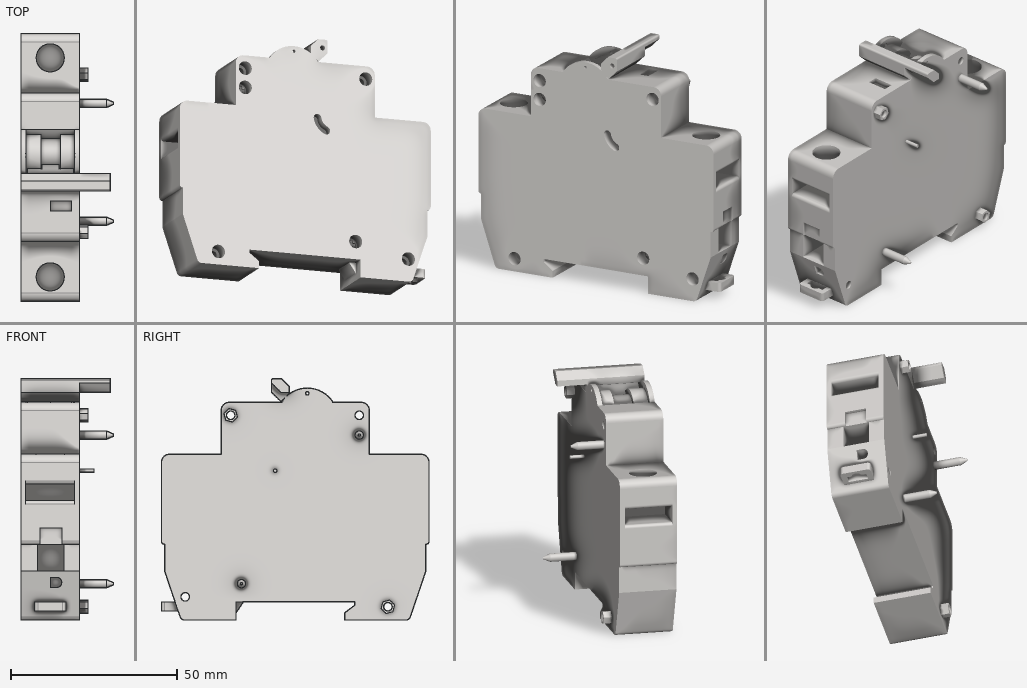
import cadquery as cq
import math

WIDTH = 17.7
HALF_LENGTH = 40.3
SHOULDER_Z = 50.0
TOWER_HALF = 22.3
TOWER_Z = 65.6
TOP_RADIUS = 2.5
STEP = 1.0
STEP_Z = 22.8
WAIST_Z = 14.75
FOOT_HALF = 34.3
FOOT_RADIUS = 1.45
WAIST_HALF = HALF_LENGTH - STEP

RAIL_CEILING = 5.5
RAIL_HOOK_MOUTH_Y = 14.8
RAIL_HOOK_Y = 17.9
RAIL_HOOK_LOW_Z = 2.2
RAIL_HOOK_HIGH_Z = 4.5
RAIL_LATCH_Y = -17.8

WHEEL_Y = 3.6
WHEEL_Z = 60.7
CHEEK_RADIUS = 9.2
CHEEK_THICKNESS = 1.5
CHEEK_HOLE_DIAMETER = 1.0
CHEEK_HOLE_Z = 68.3
WHEEL_RADIUS = 7.1
GROOVE_RADIUS = 5.5
GROOVE_X = (6.05, 12.0)
WELL_HALF = math.sqrt(CHEEK_RADIUS**2 - (TOWER_Z - WHEEL_Z)**2)

LEVER_LENGTH = 27.0
LEVER_FRONT_Y = -7.2
LEVER_REAR_Y = -1.8
LEVER_TIP_Y = -4.3
LEVER_TIP_Z = 65.8
LEVER_TOP_Z = 72.7
LEVER_FRONT_LOW_Z = 68.6
LEVER_REAR_HIGH_Z = 70.4
LEVER_EDGE_RADIUS = 0.6
GRIP_FRONT_Z = 71.4
LEVER_HOLE = (-5.6, 70.1)
LEVER_HOLE_DIAMETER = 1.5
LEVER_HOLE_DEPTH = 4.0
STEM_WIDTH = 2.8
STEM_ANGLE = 135.0
STEM_OVERLAP = 0.8
STEM_X = (2.0, 15.8)
STEM_CORE_X = (6.45, 11.45)

BORE_DIAMETER = 4.2
BORE_DEPTH = 4.8
SHANK_DIAMETER = 2.5
TUBE_PLACES = [(19.3, 61.65), (-33.1, 7.0)]
HEX_TUBES = [((-19.4, 61.65), 15.0), ((27.9, 4.0), -15.0)]
HEX_DIAMETER = 4.2
HEX_LENGTH = 2.5
SCREW_PLACES = [(19.3, 55.7), (-16.2, 11.0)]
SCREW_HEAD_DIAMETER = 3.9
SCREW_HEAD_HEIGHT = 1.45
SCREW_CROSS_SPAN = 2.7
SCREW_CROSS_WIDTH = 0.8
SCREW_CROSS_DEPTH = 1.0
SCREW_END_X = 28.0
SCREW_POINT_LENGTH = 2.1
SCREW_TIP_DIAMETER = 0.65

SLOT_CENTER = (-8.7, 49.0)
SLOT_ARC_RADIUS = 4.8
SLOT_WIDTH = 2.4
SLOT_ANGLES = (8.7, 66.4)
SLOT_DEPTH = 3.2
PIN_DIAMETER = 1.05
PIN_END_X = 22.1
PIN_Z = 45.0

MIDDLE_X = 8.9
TERMINAL_HOLE_DIAMETER = 8.5
TERMINAL_HOLE_Y = 33.0
TERMINAL_HOLE_DEPTH = 6.45
TERMINAL_WIDTH = 14.75
TERMINAL_LOW_Z = 35.95
TERMINAL_HIGH_Z = 40.95
TERMINAL_DEPTH = 9.7
TERMINAL_LIP_RADIUS = 1.0

NOTCH_X = (5.8, 12.3)
NOTCH_TOP_Z = 27.7
WINDOW_X = (5.0, 13.05)
WINDOW_DEPTH = 9.7
TOP_SLOT_X = (8.95, 15.2)
TOP_SLOT_Y = (-13.1, -10.1)
TOP_SLOT_DEPTH = 1.6
ROUND_END_HOLE_DIAMETER = 3.1
ROUND_END_HOLE_X = (8.95, 12.3)
ROUND_END_HOLE_Z = 11.4
ROUND_END_HOLE_END_Y = -33.85

LATCH_X = (4.2, 13.55)
LATCH_LOW_Z = 2.75
LATCH_HIGH_Z = RAIL_CEILING
LATCH_CORNER_RADIUS = 1.0
LATCH_EYE_WIDTH = 6.1
LATCH_EYE_Y = (-38.45, -36.3)
LATCH_EYE_ARC_RADIUS = 1.6
LATCH_EYE_ARC_RISE = 1.05
LATCH_INNER_Y = -34.65
LATCH_TIP_Y = -15.8
LATCH_TIP_LOW_Z = 2.2
LATCH_TIP_EDGE_Z = 5.15


def box(x_range, y_range, z_range):
    """Box between two limits along each axis."""
    size = [high - low for low, high in (x_range, y_range, z_range)]
    corner = (x_range[0], y_range[0], z_range[0])
    return cq.Workplane("XY").box(*size, centered=False).translate(corner)


def plate(points, x_start, x_end):
    """Closed Y-Z polygon extruded from x_start to x_end."""
    return cq.Workplane("YZ", origin=(x_start, 0, 0)).polyline(points).close().extrude(x_end - x_start)


def rod(place, diameter, x_start, x_end):
    """Round bar along X at a (Y, Z) place."""
    plane = cq.Workplane("YZ", origin=(x_start, 0, 0))
    return plane.center(*place).circle(diameter / 2).extrude(x_end - x_start)


def symmetric_block(half_outline, corners):
    """Block across the full width from one half of its outline, with (y, z, radius) corners rounded."""
    outline = half_outline + [(-y, z) for y, z in reversed(half_outline)]
    block = plate(outline, 0, WIDTH)
    for y, z, radius in corners:
        for side in (-1, 1):
            corner = cq.selectors.NearestToPointSelector((WIDTH / 2, side * y, z))
            block = block.edges(corner).fillet(radius)
    return block


def make_housing():
    upper = symmetric_block(
        [
            (HALF_LENGTH, STEP_Z), (HALF_LENGTH, SHOULDER_Z), (TOWER_HALF, SHOULDER_Z), (TOWER_HALF, TOWER_Z),
        ],
        [
            (HALF_LENGTH, STEP_Z, STEP), (HALF_LENGTH, SHOULDER_Z, TOP_RADIUS),
            (TOWER_HALF, TOWER_Z, TOP_RADIUS),
        ],
    )
    lower = symmetric_block(
        [(FOOT_HALF, 0), (WAIST_HALF, WAIST_Z), (WAIST_HALF, STEP_Z)], [(FOOT_HALF, 0, FOOT_RADIUS)]
    )
    rail_slot = [
        (RAIL_HOOK_MOUTH_Y, 0), (RAIL_HOOK_MOUTH_Y, RAIL_HOOK_LOW_Z), (RAIL_HOOK_Y, RAIL_HOOK_HIGH_Z),
        (RAIL_HOOK_Y, RAIL_CEILING), (RAIL_LATCH_Y, RAIL_CEILING), (RAIL_LATCH_Y, 0),
    ]
    return upper.union(lower).cut(plate(rail_slot, 0, WIDTH))


def add_wheel(body):
    center = (WHEEL_Y, WHEEL_Z)
    inner_x = (CHEEK_THICKNESS, WIDTH - CHEEK_THICKNESS)
    cheeks = rod(center, 2 * CHEEK_RADIUS, 0, WIDTH)
    gap = rod(center, 2 * CHEEK_RADIUS, *inner_x)
    well = [
        (WHEEL_Y - WELL_HALF, TOWER_Z), (WHEEL_Y, TOWER_Z - WELL_HALF), (WHEEL_Y + WELL_HALF, TOWER_Z),
    ]
    wheel = rod(center, 2 * WHEEL_RADIUS, *inner_x).cut(rod(center, 2 * WHEEL_RADIUS, *GROOVE_X))
    hub = rod(center, 2 * GROOVE_RADIUS, *inner_x)
    cheek_holes = rod((WHEEL_Y, CHEEK_HOLE_Z), CHEEK_HOLE_DIAMETER, 0, WIDTH)
    body = body.union(cheeks.cut(gap)).cut(plate(well, *inner_x))
    return body.union(wheel).union(hub).cut(cheek_holes)


def make_stem(x_range, start, end):
    """Bar pointing from the wheel axis 45 degrees up towards -Y, between two radii."""
    plane = cq.Workplane("YZ", origin=(x_range[0], WHEEL_Y, WHEEL_Z))
    bar = plane.center((start + end) / 2, 0).rect(end - start, STEM_WIDTH).extrude(x_range[1] - x_range[0])
    return bar.rotate((0, WHEEL_Y, WHEEL_Z), (1, WHEEL_Y, WHEEL_Z), STEM_ANGLE)


def make_lever():
    rear_low_z = LEVER_TIP_Z + (LEVER_REAR_Y - LEVER_TIP_Y)
    top_rear_y = LEVER_REAR_Y - (LEVER_TOP_Z - LEVER_REAR_HIGH_Z)
    top = [(LEVER_REAR_Y, LEVER_REAR_HIGH_Z), (top_rear_y, LEVER_TOP_Z), (LEVER_FRONT_Y, LEVER_TOP_Z)]
    root = top + [(LEVER_FRONT_Y, LEVER_FRONT_LOW_Z), (LEVER_TIP_Y, LEVER_TIP_Z), (LEVER_REAR_Y, rear_low_z)]
    slant = GRIP_FRONT_Z - LEVER_FRONT_LOW_Z
    grip = top + [
        (LEVER_FRONT_Y, GRIP_FRONT_Z), (LEVER_FRONT_Y + slant, LEVER_FRONT_LOW_Z),
        (LEVER_REAR_Y, LEVER_FRONT_LOW_Z),
    ]
    lever = plate(root, 0, WIDTH).union(plate(grip, WIDTH, LEVER_LENGTH))
    lever = lever.faces(">Z").edges("<Y").fillet(LEVER_EDGE_RADIUS)
    lever = lever.cut(rod(LEVER_HOLE, LEVER_HOLE_DIAMETER, 0, LEVER_HOLE_DEPTH))
    stem_root = math.sqrt(WHEEL_RADIUS**2 - (STEM_WIDTH / 2)**2)
    lever = lever.union(make_stem(STEM_X, stem_root, CHEEK_RADIUS + STEM_OVERLAP))
    return lever.union(make_stem(STEM_CORE_X, 0, CHEEK_RADIUS))


def add_tubes(body):
    for (y, z), turn in HEX_TUBES:
        plane = cq.Workplane("YZ", origin=(WIDTH, y, z))
        hexagon = plane.polygon(6, HEX_DIAMETER).extrude(HEX_LENGTH)
        body = body.union(hexagon.rotate((0, y, z), (1, y, z), 90 + turn))
    for place in TUBE_PLACES + [hex_place for hex_place, _ in HEX_TUBES]:
        body = body.cut(rod(place, SHANK_DIAMETER, 0, WIDTH + HEX_LENGTH))
        body = body.cut(rod(place, BORE_DIAMETER, 0, BORE_DEPTH))
    return body


def make_screw(place):
    head_top = BORE_DEPTH - SCREW_HEAD_HEIGHT
    head_radius = SCREW_HEAD_DIAMETER / 2
    shank_radius = SHANK_DIAMETER / 2
    cone_x = SCREW_END_X - SCREW_POINT_LENGTH
    dome_radius = (head_radius**2 + SCREW_HEAD_HEIGHT**2) / (2 * SCREW_HEAD_HEIGHT)
    half_turn = math.asin(head_radius / dome_radius) / 2
    dome_middle = (
        head_top + dome_radius * (1 - math.cos(half_turn)), dome_radius * math.sin(half_turn)
    )
    profile = (
        cq.Workplane("XY").moveTo(head_top, 0).threePointArc(dome_middle, (BORE_DEPTH, head_radius))
        .lineTo(BORE_DEPTH, shank_radius).lineTo(cone_x, shank_radius)
        .lineTo(SCREW_END_X, SCREW_TIP_DIAMETER / 2).lineTo(SCREW_END_X, 0).close()
    )
    screw = profile.revolve(360, (0, 0, 0), (1, 0, 0))
    plane = cq.Workplane("YZ")
    cross_end = head_top + SCREW_CROSS_DEPTH
    cross = plane.rect(SCREW_CROSS_SPAN, SCREW_CROSS_WIDTH).extrude(cross_end)
    cross = cross.union(plane.rect(SCREW_CROSS_WIDTH, SCREW_CROSS_SPAN).extrude(cross_end))
    return screw.cut(cross).translate((0, *place))


def add_screws(body):
    for place in SCREW_PLACES:
        body = body.cut(rod(place, BORE_DIAMETER, 0, BORE_DEPTH)).union(make_screw(place))
    return body


def slot_point(radius, angle):
    """Point (Y, Z) on the curved slot; the angle turns from +Y to -Z."""
    turn = math.radians(angle)
    center_y, center_z = SLOT_CENTER
    return (center_y + radius * math.cos(turn), center_z - radius * math.sin(turn))


def cut_curved_slot(body):
    start, end = SLOT_ANGLES
    middle = (start + end) / 2
    inner = SLOT_ARC_RADIUS - SLOT_WIDTH / 2
    outer = SLOT_ARC_RADIUS + SLOT_WIDTH / 2
    band = (
        cq.Workplane("YZ").moveTo(*slot_point(inner, start))
        .threePointArc(slot_point(inner, middle), slot_point(inner, end)).lineTo(*slot_point(outer, end))
        .threePointArc(slot_point(outer, middle), slot_point(outer, start)).close().extrude(SLOT_DEPTH)
    )
    for angle in SLOT_ANGLES:
        band = band.union(rod(slot_point(SLOT_ARC_RADIUS, angle), SLOT_WIDTH, 0, SLOT_DEPTH))
    return body.cut(band)


def add_trip_pin(body):
    drop = SLOT_CENTER[1] - PIN_Z
    pin_y = SLOT_CENTER[0] + math.sqrt(SLOT_ARC_RADIUS**2 - drop**2)
    return body.union(rod((pin_y, PIN_Z), PIN_DIAMETER, WIDTH, PIN_END_X))


def mirrored_end(shape):
    """The shape together with its copy at the opposite end of the housing."""
    return shape.union(shape.mirror("XZ"))


def cut_terminals(body):
    """Screw hole from above and flared wire opening at each end."""
    lip = TERMINAL_LIP_RADIUS
    x_range = (MIDDLE_X - TERMINAL_WIDTH / 2, MIDDLE_X + TERMINAL_WIDTH / 2)
    lip_y = HALF_LENGTH - lip
    opening = box(x_range, (lip_y, HALF_LENGTH), (TERMINAL_LOW_Z - lip, TERMINAL_HIGH_Z + lip))
    for lip_z in (TERMINAL_LOW_Z - lip, TERMINAL_HIGH_Z + lip):
        opening = opening.cut(rod((lip_y, lip_z), 2 * lip, *x_range))
    inner_y = HALF_LENGTH - TERMINAL_DEPTH
    opening = opening.union(box(x_range, (inner_y, HALF_LENGTH), (TERMINAL_LOW_Z, TERMINAL_HIGH_Z)))
    plane = cq.Workplane("XY", origin=(MIDDLE_X, TERMINAL_HOLE_Y, SHOULDER_Z))
    screw_hole = plane.circle(TERMINAL_HOLE_DIAMETER / 2).extrude(-TERMINAL_HOLE_DEPTH)
    return body.cut(mirrored_end(opening)).cut(mirrored_end(screw_hole))


def cut_front_recesses(body):
    """Notch, window and round-ended hole in the -Y end, and the slot in the top of the tower."""
    notch = box(NOTCH_X, (-HALF_LENGTH, -WAIST_HALF), (STEP_Z - STEP, NOTCH_TOP_Z))
    window = box(WINDOW_X, (-WAIST_HALF, WINDOW_DEPTH - WAIST_HALF), (WAIST_Z, STEP_Z))
    top_slot = box(TOP_SLOT_X, TOP_SLOT_Y, (TOWER_Z - TOP_SLOT_DEPTH, TOWER_Z))
    radius = ROUND_END_HOLE_DIAMETER / 2
    round_x = ROUND_END_HOLE_X[1] - radius
    hole_y = (-HALF_LENGTH, ROUND_END_HOLE_END_Y)
    hole = box((ROUND_END_HOLE_X[0], round_x), hole_y, (ROUND_END_HOLE_Z - radius, ROUND_END_HOLE_Z + radius))
    plane = cq.Workplane("XZ", origin=(round_x, hole_y[1], ROUND_END_HOLE_Z))
    hole = hole.union(plane.circle(radius).extrude(hole_y[1] - hole_y[0]))
    return body.cut(notch).cut(window).cut(top_slot).cut(hole)


def make_latch():
    height = (LATCH_LOW_Z, LATCH_HIGH_Z)
    handle = box(LATCH_X, (-HALF_LENGTH, LATCH_INNER_Y), height)
    handle = handle.edges("|Z and <Y").fillet(LATCH_CORNER_RADIUS)
    eye_x = (MIDDLE_X - LATCH_EYE_WIDTH / 2, MIDDLE_X + LATCH_EYE_WIDTH / 2)
    eye = box(eye_x, LATCH_EYE_Y, height)
    arc_y = LATCH_EYE_Y[0] - LATCH_EYE_ARC_RISE + LATCH_EYE_ARC_RADIUS
    plane = cq.Workplane("XY", origin=(MIDDLE_X, arc_y, height[0]))
    eye = eye.union(plane.circle(LATCH_EYE_ARC_RADIUS).extrude(height[1] - height[0]))
    tip = [
        (RAIL_LATCH_Y, LATCH_HIGH_Z), (LATCH_TIP_Y, LATCH_HIGH_Z), (LATCH_TIP_Y, LATCH_TIP_EDGE_Z),
        (RAIL_LATCH_Y, LATCH_TIP_LOW_Z),
    ]
    return handle.cut(eye).union(plate(tip, *LATCH_X))


body = add_wheel(make_housing())
body = cut_terminals(body)
body = cut_front_recesses(body)
body = cut_curved_slot(body)
body = body.union(make_lever())
body = body.union(make_latch())
body = add_tubes(body)
body = add_screws(body)
result = add_trip_pin(body)